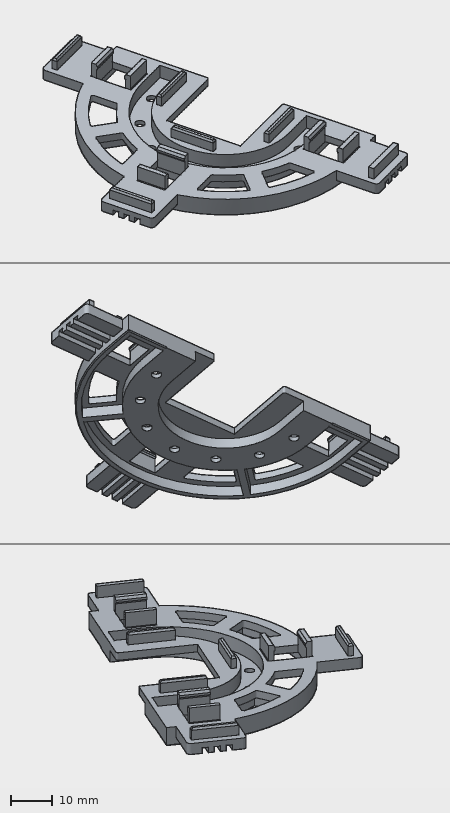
import cadquery as cq
import math

PLATE_TOP = 4.9
PLATE_THICKNESS = 2.0
PLATE_BOTTOM = PLATE_TOP - PLATE_THICKNESS
CLIP_TOP = 9.0
RAIL_TOP = 8.1

DISC_RADIUS = 36.6
BACK_Y = 10.0
CUTOUT_HALF = 10.45
CUTOUT_CORNER = 0.6

ARM_REACH = 47.5
ARM_HALF = 7.5
ARM_THICKNESS = 2.9
ARM_BOTTOM = PLATE_TOP - ARM_THICKNESS
ARM_CORNER = 1.0
GROOVE_WIDTH = 1.5
GROOVE_DEPTH = 1.4
GROOVE_PITCH = 3.0
LEFT, DOWN, RIGHT = 180, 270, 0
ARM_ANGLES = (LEFT, DOWN, RIGHT)

CHANNEL_INNER = 18.0
CHANNEL_OUTER = 23.5
CHANNEL_END_Y = 8.55
CHANNEL_FLOOR = 1.2
CHANNEL_WALL = 1.6
RIM_WALL = 1.5
EDGE_CHAMFER = 0.3
HOLE_CIRCLE = 20.8
HOLE_DIAMETER = 2.5
HOLE_STEP = 30
HOLE_COUNT = 7

WINDOW_SIDE = CUTOUT_HALF
WINDOW_INNER = 26.5
WINDOW_OUTER = 33.3
SPOKE_ANGLES = (225, 315)
SPOKE_HALF = 2.3
SPOKE_RIB = 1.8
WINDOW_CORNER = 0.5

OPENING_START = 24.5
OPENING_END = 35.5
OPENING_WIDTH = 7.8
CLIP_THICKNESS = 1.4
BARB = 0.3
BARB_TIP_TOP = 8.4
BARB_TIP_BOTTOM = 7.8
BARB_ROOT = 7.3
CLIP_TOP_WIDTH = 1.2
CLIP_FOOT = 0.2

RAIL_LENGTH = 11.9
RAIL_WIDTH = 1.4
RAIL_CAP_HEIGHT = 0.6
RAIL_CAP_TAPER = 32
INNER_RAIL = 15.2
OUTER_RAIL = 44.7


def box(x0, x1, y0, y1, z0, z1):
    """Block between two limits on each axis."""
    return cq.Workplane("XY").box(x1 - x0, y1 - y0, z1 - z0, centered=False).translate((x0, y0, z0))


def turned(body, angle):
    """Turn a body made along +X to another direction about the disc centre."""
    return body.rotate((0, 0, 0), (0, 0, 1), angle)


def u_shape(radius, end_y, z0, z1):
    """Half disc below Y = 0 with a straight strip of the same width up to end_y."""
    return (
        cq.Workplane("XY", origin=(0, 0, z0))
        .moveTo(-radius, end_y)
        .lineTo(-radius, 0)
        .threePointArc((0, -radius), (radius, 0))
        .lineTo(radius, end_y)
        .close()
        .extrude(z1 - z0)
    )


def make_plate():
    """U-shaped top plate, with the two free corners of its cutout rounded."""
    cutout = box(-CUTOUT_HALF, CUTOUT_HALF, -CUTOUT_HALF, BACK_Y, PLATE_BOTTOM, PLATE_TOP)
    plate = u_shape(DISC_RADIUS, BACK_Y, PLATE_BOTTOM, PLATE_TOP).cut(cutout)
    middle_z = PLATE_BOTTOM + PLATE_THICKNESS / 2
    for x in (-CUTOUT_HALF, CUTOUT_HALF):
        corner = cq.selectors.NearestToPointSelector((x, BACK_Y, middle_z))
        plate = plate.edges("|Z").edges(corner).fillet(CUTOUT_CORNER)
    return plate


def make_walls():
    """Rim wall, channel trough and spoke ribs below the plate."""
    rim = u_shape(DISC_RADIUS, BACK_Y, 0, PLATE_TOP).faces("<Z").edges().chamfer(EDGE_CHAMFER)
    rim = rim.cut(u_shape(DISC_RADIUS - RIM_WALL, CHANNEL_END_Y, 0, PLATE_TOP))
    trough = u_shape(CHANNEL_OUTER + CHANNEL_WALL, BACK_Y, 0, PLATE_TOP)
    inside = u_shape(CHANNEL_INNER - CHANNEL_WALL, BACK_Y, 0, PLATE_TOP)
    walls = rim.union(trough).cut(inside)
    rib_start = CHANNEL_OUTER + CHANNEL_WALL / 2
    rib_end = DISC_RADIUS - RIM_WALL / 2
    rib = box(rib_start, rib_end, -SPOKE_RIB / 2, SPOKE_RIB / 2, 0, PLATE_TOP)
    for spoke_angle in SPOKE_ANGLES:
        walls = walls.union(turned(rib, spoke_angle))
    return walls


def make_arm():
    """Arm outside the disc, with grooves along its underside that stop at the rim."""
    start = DISC_RADIUS - RIM_WALL
    groove_top = ARM_BOTTOM + GROOVE_DEPTH
    groove_half = GROOVE_WIDTH / 2
    arm = box(start, ARM_REACH, -ARM_HALF, ARM_HALF, ARM_BOTTOM, PLATE_TOP)
    arm = arm.edges("|Z and >X").fillet(ARM_CORNER)
    for step in (-1, 0, 1):
        y = step * GROOVE_PITCH
        arm = arm.cut(box(start, ARM_REACH, y - groove_half, y + groove_half, ARM_BOTTOM, groove_top))
    return arm.cut(cq.Workplane("XY").circle(DISC_RADIUS - RIM_WALL / 2).extrude(PLATE_TOP))


def make_channel():
    """Space inside the U-shaped channel, above its floor."""
    outer = u_shape(CHANNEL_OUTER, CHANNEL_END_Y, CHANNEL_FLOOR, PLATE_TOP)
    inner = u_shape(CHANNEL_INNER, CHANNEL_END_Y, CHANNEL_FLOOR, PLATE_TOP)
    return outer.cut(inner)


def make_window():
    """Window beside the +X arm, on the -Y side, cutting the plate only."""
    ring = (
        cq.Workplane("XY", origin=(0, 0, PLATE_BOTTOM))
        .circle(WINDOW_OUTER)
        .circle(WINDOW_INNER)
        .extrude(PLATE_THICKNESS)
    )
    spoke_offset = SPOKE_HALF * math.sqrt(2)
    far = WINDOW_OUTER
    sector = (
        cq.Workplane("XY")
        .moveTo(WINDOW_SIDE + spoke_offset, -WINDOW_SIDE)
        .lineTo(far + spoke_offset, -WINDOW_SIDE)
        .lineTo(far + spoke_offset, -far)
        .close()
        .extrude(PLATE_TOP)
    )
    return ring.intersect(sector).edges("|Z").fillet(WINDOW_CORNER)


def make_clip():
    """Clip on the near end of an opening, with its barb facing along +X."""
    back = OPENING_START
    face = back + CLIP_THICKNESS
    tip = face + BARB
    return (
        cq.Workplane("XZ", origin=(0, OPENING_WIDTH / 2, 0))
        .moveTo(back - CLIP_FOOT, PLATE_BOTTOM)
        .lineTo(back - CLIP_FOOT, PLATE_TOP)
        .lineTo(back, PLATE_TOP + CLIP_FOOT)
        .lineTo(back, CLIP_TOP)
        .lineTo(back + CLIP_TOP_WIDTH, CLIP_TOP)
        .lineTo(tip, BARB_TIP_TOP)
        .lineTo(tip, BARB_TIP_BOTTOM)
        .lineTo(face, BARB_ROOT)
        .lineTo(face, PLATE_BOTTOM)
        .close()
        .extrude(OPENING_WIDTH)
    )


def make_clip_pair():
    """Clips on both ends of an opening, facing each other."""
    near = make_clip()
    middle = (OPENING_START + OPENING_END) / 2
    return near.union(near.mirror("YZ", (middle, 0, 0)))


def make_rail(distance, capped=True):
    """Rail across an arm, with its top sloping in on all four sides unless it is left uncapped."""
    straight_top = RAIL_TOP - RAIL_CAP_HEIGHT if capped else RAIL_TOP
    rail = (
        cq.Workplane("XY", origin=(distance, 0, PLATE_TOP))
        .rect(RAIL_WIDTH, RAIL_LENGTH)
        .extrude(straight_top - PLATE_TOP)
    )
    if capped:
        cap = (
            cq.Workplane("XY", origin=(distance, 0, straight_top))
            .rect(RAIL_WIDTH, RAIL_LENGTH)
            .extrude(RAIL_CAP_HEIGHT, taper=RAIL_CAP_TAPER)
        )
        rail = rail.union(cap)
    return rail


result = make_plate().union(make_walls())
for arm_angle in ARM_ANGLES:
    result = result.union(turned(make_arm(), arm_angle))
result = result.cut(make_channel())

beside_side_arm = make_window()
beside_front_arm = turned(beside_side_arm.mirror("XZ"), DOWN)
for window in (beside_side_arm, beside_front_arm):
    result = result.cut(window).cut(window.mirror("YZ"))

opening = box(
    OPENING_START + CLIP_THICKNESS,
    OPENING_END - CLIP_THICKNESS,
    -OPENING_WIDTH / 2,
    OPENING_WIDTH / 2,
    PLATE_BOTTOM,
    PLATE_TOP,
)
clips = make_clip_pair()
inner_rail = make_rail(INNER_RAIL)
for arm_angle in ARM_ANGLES:
    outer_rail = make_rail(OUTER_RAIL, capped=arm_angle != RIGHT)
    result = result.cut(turned(opening, arm_angle))
    for feature in (clips, inner_rail, outer_rail):
        result = result.union(turned(feature, arm_angle))

hole = cq.Workplane("XY").center(HOLE_CIRCLE, 0).circle(HOLE_DIAMETER / 2).extrude(PLATE_TOP)
for index in range(HOLE_COUNT):
    result = result.cut(turned(hole, LEFT + index * HOLE_STEP))